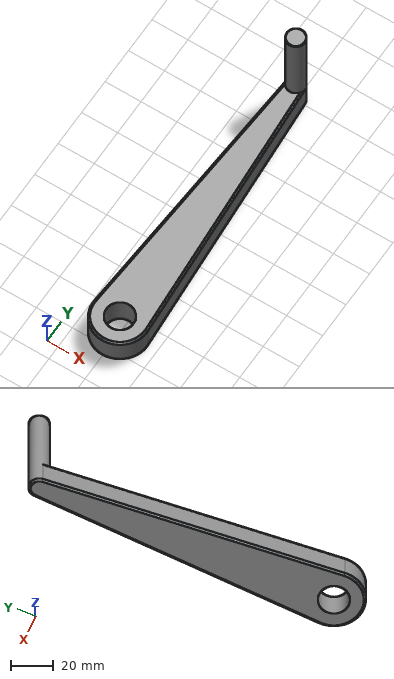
import cadquery as cq
import math

total_length = 170.0
total_height = 57.5
hub_diameter = 29.9
pin_diameter = 10.0
bore_diameter = 15.0
arm_thickness = 15.0
arm_chamfer = 1.0
pin_chamfer = 0.25

hub_radius = hub_diameter / 2
pin_radius = pin_diameter / 2
pin_y = total_length - hub_radius - pin_radius


def tapered_arm():
    """Lever centred on the hub, with straight sides tangent to both round ends."""
    sine = (hub_radius - pin_radius) / pin_y
    cosine = math.sqrt(1 - sine**2)
    hub_x, hub_y = hub_radius * cosine, hub_radius * sine
    tip_x, tip_y = pin_radius * cosine, pin_y + pin_radius * sine
    return (
        cq.Workplane("XY")
        .moveTo(hub_x, hub_y)
        .lineTo(tip_x, tip_y)
        .threePointArc((0, pin_y + pin_radius), (-tip_x, tip_y))
        .lineTo(-hub_x, hub_y)
        .threePointArc((0, -hub_radius), (hub_x, hub_y))
        .close()
        .extrude(arm_thickness)
        .faces("<Z or >Z")
        .chamfer(arm_chamfer)
    )


def handle_pin():
    """Upright pin whose side is flush with the round tip of the arm."""
    pin_bottom = arm_chamfer
    return (
        cq.Workplane("XY", origin=(0, pin_y, pin_bottom))
        .circle(pin_radius)
        .extrude(total_height - pin_bottom)
        .faces(">Z")
        .chamfer(pin_chamfer)
    )


bore = cq.Workplane("XY").circle(bore_diameter / 2).extrude(arm_thickness)

result = tapered_arm().union(handle_pin()).cut(bore)